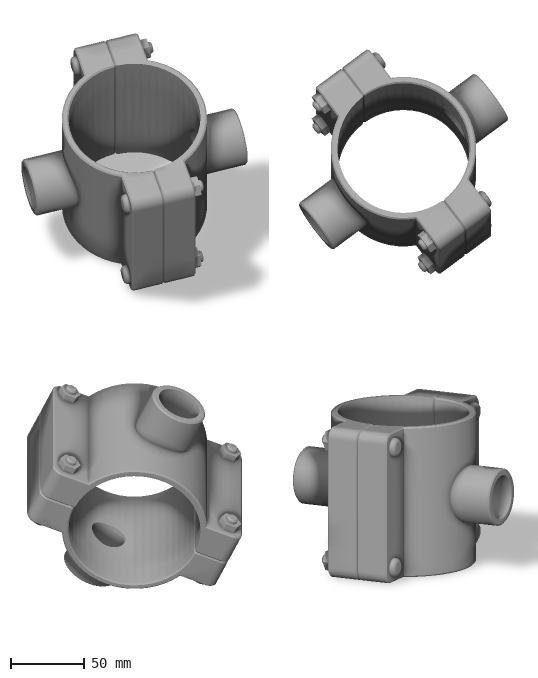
import cadquery as cq
import math

HEIGHT = 105.0
FLANGE_WIDTH = 141.0
FLANGE_THICKNESS = 22.5
FLANGE_CORNER_RADIUS = 7.0
BORE_RADIUS = 45.0
WALL_THICKNESS = 4.5
SHELL_RADIUS = BORE_RADIUS + WALL_THICKNESS
EDGE_CHAMFER = 1.0

STUB_END = 75.0
STUB_DIAMETER = 39.5
SOCKET_DIAMETER = 30.3
SOCKET_DEPTH = 21.5
PASSAGE_DIAMETER = 25.0

FASTENER_X = 60.0
FASTENER_Z = 42.0
HEAD_DIAMETER = 13.0
HEAD_HEIGHT = 4.0
HEAD_FILLET = 3.0
NUT_ACROSS_FLATS = 13.0
NUT_ACROSS_CORNERS = NUT_ACROSS_FLATS / math.cos(math.pi / 6)
NUT_THICKNESS = 5.1
SCREW_DIAMETER = 8.0
SCREW_PROTRUSION = 8.0

FASTENER_POINTS = [(x, z) for x in (-FASTENER_X, FASTENER_X) for z in (-FASTENER_Z, FASTENER_Z)]


def sketch_at(y):
    """Sketch plane at the given y whose normal points along +Y."""
    return cq.Workplane(cq.Plane(origin=(0, y, 0), xDir=(-1, 0, 0), normal=(0, 1, 0)))


def vertical_cylinder(radius):
    """Cylinder about the Z axis over the full clamp height."""
    return cq.Workplane("XY").circle(radius).extrude(HEIGHT / 2, both=True)


def turned_to_front(body):
    """Turn a body from the +Y side to the -Y side of the joint."""
    return body.rotate((0, 0, 0), (0, 0, 1), 180)


def passage():
    """Cutter for the round passage from the clamp bore out through a stub."""
    return sketch_at(0).circle(PASSAGE_DIAMETER / 2).extrude(STUB_END)


def chamfered_edges(shell, with_bore_rims):
    """Edges of a half shell to chamfer: joint face, flange outlines, tube rims."""
    joint_edges = shell.faces("<Y").edges().vals()

    flange_outlines = [
        edge
        for edge in shell.faces("|Y").edges().vals()
        if edge.Center().y > FLANGE_THICKNESS / 2 and abs(edge.Center().x) > SHELL_RADIUS
    ]

    mid_wall_radius = BORE_RADIUS + WALL_THICKNESS / 2
    rims = shell.faces("|Z").edges("%CIRCLE").vals()
    tube_rims = [rim for rim in rims if with_bore_rims or rim.radius() > mid_wall_radius]
    return joint_edges + flange_outlines + tube_rims


def half_shell(with_bore_rims):
    """Half tube with two bolting flanges, on the +Y side of the joint."""
    flange = sketch_at(0).rect(FLANGE_WIDTH, HEIGHT).extrude(FLANGE_THICKNESS)
    flange = flange.edges("|Y").fillet(FLANGE_CORNER_RADIUS)
    back_side = sketch_at(0).rect(FLANGE_WIDTH, HEIGHT).extrude(SHELL_RADIUS)
    half_tube = vertical_cylinder(SHELL_RADIUS).intersect(back_side)
    shell = flange.union(half_tube).cut(vertical_cylinder(BORE_RADIUS)).clean()
    shell = shell.newObject(chamfered_edges(shell, with_bore_rims)).chamfer(EDGE_CHAMFER)
    return shell.cut(passage())


def screw_heads():
    """Round screw heads standing on a flange face."""
    seat = sketch_at(FLANGE_THICKNESS).pushPoints(FASTENER_POINTS)
    heads = seat.circle(HEAD_DIAMETER / 2).extrude(HEAD_HEIGHT)
    return heads.faces(">Y").edges().fillet(HEAD_FILLET)


def nuts_with_screw_ends():
    """Hexagon nuts standing on a flange face, with chamfered screw ends beyond them."""
    seat = sketch_at(FLANGE_THICKNESS).pushPoints(FASTENER_POINTS)
    nuts = seat.polygon(6, NUT_ACROSS_CORNERS).extrude(NUT_THICKNESS)
    screw_ends = seat.circle(SCREW_DIAMETER / 2).extrude(SCREW_PROTRUSION)
    screw_ends = screw_ends.faces(">Y").chamfer(EDGE_CHAMFER)
    return nuts.union(screw_ends)


def bolted_clamp():
    """Both half shells held together by their fasteners, as one solid."""
    back_half = half_shell(with_bore_rims=False).union(nuts_with_screw_ends())
    front_half = half_shell(with_bore_rims=True).union(screw_heads())
    return back_half.union(turned_to_front(front_half))


def pipe_stub():
    """Stub saddled on the outside of the +Y half shell, with a stepped passage."""
    stub = sketch_at(0).circle(STUB_DIAMETER / 2).extrude(STUB_END)
    stub = stub.faces(">Y").chamfer(EDGE_CHAMFER)
    socket = sketch_at(STUB_END - SOCKET_DEPTH).circle(SOCKET_DIAMETER / 2).extrude(SOCKET_DEPTH)
    return stub.cut(vertical_cylinder(SHELL_RADIUS)).cut(passage()).cut(socket)


clamp = bolted_clamp()
stubs = []
for stub in (pipe_stub(), turned_to_front(pipe_stub())):
    stubs.append(stub.solids().val())

result = cq.Compound.makeCompound([clamp.solids().val(), *stubs])